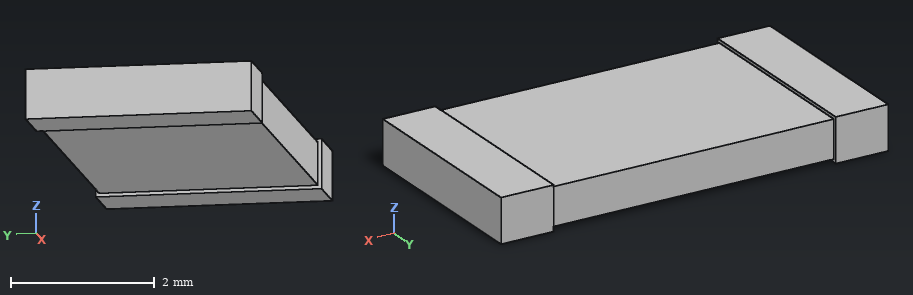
import cadquery as cq

LENGTH = 6.3
WIDTH = 3.2
HEIGHT = 0.71

TERMINAL_LENGTH = 0.855
STEP = 0.05

BODY_LENGTH = LENGTH - 2 * TERMINAL_LENGTH
BODY_WIDTH = WIDTH - 2 * STEP
BODY_HEIGHT = HEIGHT - 2 * STEP
TERMINAL_OFFSET = (LENGTH - TERMINAL_LENGTH) / 2


def make_body():
    """Flat ceramic block that fills the space between the terminals."""
    return cq.Workplane("XY").box(BODY_LENGTH, BODY_WIDTH, BODY_HEIGHT)


def make_terminal(side):
    """End block touching the body; side is -1 for the -X end, 1 for the +X end."""
    terminal = cq.Workplane("XY").box(TERMINAL_LENGTH, WIDTH, HEIGHT)
    return terminal.translate((side * TERMINAL_OFFSET, 0, 0))


body = make_body()
terminals = [make_terminal(side).val() for side in (-1, 1)]

result = cq.Compound.makeCompound([body.val(), *terminals])